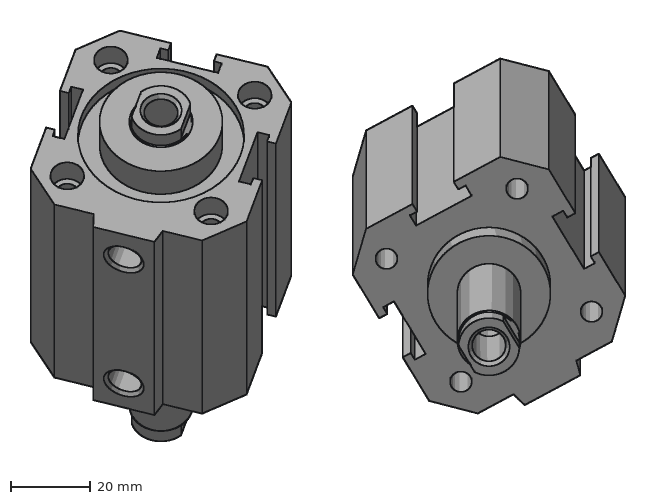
import cadquery as cq
import math


TOTAL_LENGTH = 130.5

BODY_WIDTH = 57.0
BODY_HEIGHT = 73.7
CORNER_CHAMFER = 9.0
HALF_WIDTH = BODY_WIDTH / 2

SLOT_OPENING = 12.0
SLOT_LIP = 2.3
SLOT_WIDTH = 16.2
SLOT_DEPTH = 5.5

RIDGE_HEIGHT = 3.9
RIDGE_BASE_WIDTH = 18.3
RIDGE_TIP_WIDTH = 16.2
RIDGE_FACE_Y = -HALF_WIDTH - RIDGE_HEIGHT
PORT_DIAMETER = 8.7
PORT_MOUTH_DIAMETER = 10.6
PORT_DEPTH = 10.5
LOWER_PORT_Z = 10.3
PORT_SPACING = 52.7

MOUNT_SPACING = 38.0
MOUNT_DIAMETER = 5.5
COUNTERBORE_DIAMETER = 8.5
COUNTERBORE_DEPTH = 7.0

BOSS_DIAMETER = 31.0
UPPER_BOSS_HEIGHT = 5.9
LOWER_BOSS_HEIGHT = 6.3
RECESS_DIAMETER = 42.0
RECESS_DEPTH = 3.9
BOSS_TOP_Z = BODY_HEIGHT + UPPER_BOSS_HEIGHT

ROD_DIAMETER = 16.0
ROD_END_DIAMETER = 15.4
ROD_END_LENGTH = 4.8
FLATS_WIDTH = 13.0
SHOULDER_HEIGHT = 0.33
RUNOUT_HEIGHT = 0.85
ROD_TOP_Z = BOSS_TOP_Z + ROD_END_LENGTH
ROD_BOTTOM_Z = ROD_TOP_Z - TOTAL_LENGTH
ROD_HOLE_DIAMETER = 8.5
ROD_HOLE_MOUTH_DIAMETER = 10.5
ROD_HOLE_DEPTH = 19.6
DRILL_POINT_ANGLE = 118.0


def chamfered_hole(diameter, mouth_diameter, depth, point_height=0.0):
    """Hole cutter along -Z with its mouth at Z = 0, a 45 degree mouth chamfer and an optional drill point."""
    radius = diameter / 2
    mouth_radius = mouth_diameter / 2
    chamfer = mouth_radius - radius
    return (
        cq.Workplane("XZ")
        .moveTo(0, 0)
        .lineTo(mouth_radius, 0)
        .lineTo(radius, -chamfer)
        .lineTo(radius, -depth)
        .lineTo(0, -depth - point_height)
        .close()
        .revolve(360, (0, 0, 0), (0, 1, 0))
    )


def t_slot():
    """Cutter for the T-slot in the +Y face."""
    lip_y = HALF_WIDTH - SLOT_LIP
    floor_y = HALF_WIDTH - SLOT_DEPTH
    return (
        cq.Workplane("XY")
        .moveTo(-SLOT_OPENING / 2, HALF_WIDTH)
        .lineTo(-SLOT_OPENING / 2, lip_y)
        .lineTo(-SLOT_WIDTH / 2, lip_y)
        .lineTo(-SLOT_WIDTH / 2, floor_y)
        .lineTo(SLOT_WIDTH / 2, floor_y)
        .lineTo(SLOT_WIDTH / 2, lip_y)
        .lineTo(SLOT_OPENING / 2, lip_y)
        .lineTo(SLOT_OPENING / 2, HALF_WIDTH)
        .close()
        .extrude(BODY_HEIGHT)
    )


def ridge():
    """Tapered ridge standing on the -Y face."""
    return (
        cq.Workplane("XY")
        .moveTo(-RIDGE_BASE_WIDTH / 2, -HALF_WIDTH)
        .lineTo(-RIDGE_TIP_WIDTH / 2, RIDGE_FACE_Y)
        .lineTo(RIDGE_TIP_WIDTH / 2, RIDGE_FACE_Y)
        .lineTo(RIDGE_BASE_WIDTH / 2, -HALF_WIDTH)
        .close()
        .extrude(BODY_HEIGHT)
    )


def make_housing():
    body = (
        cq.Workplane("XY")
        .rect(BODY_WIDTH, BODY_WIDTH)
        .extrude(BODY_HEIGHT)
        .edges("|Z")
        .chamfer(CORNER_CHAMFER)
        .union(ridge())
    )

    for angle in (-90, 0, 90):
        body = body.cut(t_slot().rotate((0, 0, 0), (0, 0, 1), angle))

    body = (
        body.faces(">Z")
        .workplane(origin=(0, 0, BODY_HEIGHT))
        .rect(MOUNT_SPACING, MOUNT_SPACING, forConstruction=True)
        .vertices()
        .cboreHole(MOUNT_DIAMETER, COUNTERBORE_DIAMETER, COUNTERBORE_DEPTH)
    )

    port = chamfered_hole(PORT_DIAMETER, PORT_MOUTH_DIAMETER, PORT_DEPTH)
    port = port.rotate((0, 0, 0), (1, 0, 0), 90)
    for port_z in (LOWER_PORT_Z, LOWER_PORT_Z + PORT_SPACING):
        body = body.cut(port.translate((0, RIDGE_FACE_Y, port_z)))

    recess = (
        cq.Workplane("XY", origin=(0, 0, BODY_HEIGHT - RECESS_DEPTH))
        .circle(RECESS_DIAMETER / 2)
        .extrude(RECESS_DEPTH)
    )
    boss_length = LOWER_BOSS_HEIGHT + BODY_HEIGHT + UPPER_BOSS_HEIGHT
    boss_plane = cq.Workplane("XY", origin=(0, 0, -LOWER_BOSS_HEIGHT))
    bosses = boss_plane.circle(BOSS_DIAMETER / 2).extrude(boss_length)
    rod_bore = boss_plane.circle(ROD_DIAMETER / 2).extrude(boss_length)
    return body.cut(recess).union(bosses).cut(rod_bore)


def rod_end():
    """Upper rod end standing on Z = 0: slightly thinner, with two flats that slope out to the rod surface."""
    round_end = (
        cq.Workplane("XZ")
        .moveTo(0, 0)
        .lineTo(ROD_DIAMETER / 2, 0)
        .lineTo(ROD_END_DIAMETER / 2, SHOULDER_HEIGHT)
        .lineTo(ROD_END_DIAMETER / 2, ROD_END_LENGTH)
        .lineTo(0, ROD_END_LENGTH)
        .close()
        .revolve(360, (0, 0, 0), (0, 1, 0))
    )
    flats = (
        cq.Workplane("XZ")
        .moveTo(-ROD_DIAMETER / 2, 0)
        .lineTo(-FLATS_WIDTH / 2, RUNOUT_HEIGHT)
        .lineTo(-FLATS_WIDTH / 2, ROD_END_LENGTH)
        .lineTo(FLATS_WIDTH / 2, ROD_END_LENGTH)
        .lineTo(FLATS_WIDTH / 2, RUNOUT_HEIGHT)
        .lineTo(ROD_DIAMETER / 2, 0)
        .close()
        .extrude(ROD_DIAMETER / 2, both=True)
    )
    return round_end.intersect(flats)


def make_rod():
    shank_bottom_z = ROD_BOTTOM_Z + ROD_END_LENGTH
    shank = (
        cq.Workplane("XY", origin=(0, 0, shank_bottom_z))
        .circle(ROD_DIAMETER / 2)
        .extrude(BOSS_TOP_Z - shank_bottom_z)
    )
    upper_end = rod_end().translate((0, 0, BOSS_TOP_Z))
    lower_end = rod_end().mirror("XY").translate((0, 0, shank_bottom_z))

    point_height = ROD_HOLE_DIAMETER / 2 / math.tan(math.radians(DRILL_POINT_ANGLE / 2))
    hole = chamfered_hole(ROD_HOLE_DIAMETER, ROD_HOLE_MOUTH_DIAMETER, ROD_HOLE_DEPTH, point_height)
    upper_hole = hole.translate((0, 0, ROD_TOP_Z))
    lower_hole = hole.mirror("XY").translate((0, 0, ROD_BOTTOM_Z))
    return shank.union(upper_end).union(lower_end).cut(upper_hole).cut(lower_hole)


housing = make_housing()
rod = make_rod()

result = cq.Compound.makeCompound([housing.val(), rod.val()])